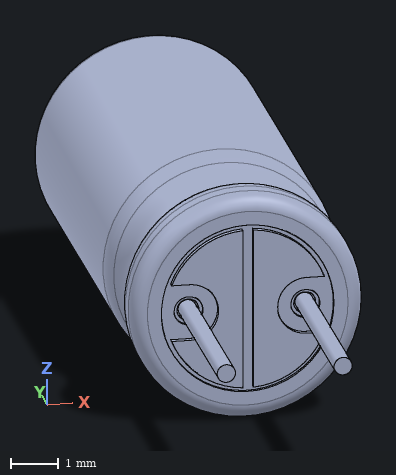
import cadquery as cq
import math


total_length = 15.1
can_diameter = 5.0
can_length = 11.0
end_round = 0.35

groove_depth = 0.32
groove_centre = 1.89
groove_half_width = 1.24
groove_shoulder = 0.51

plate_diameter = 3.5
plate_height = 0.05
plate_gap = 0.23
lead_notch_width = 1.24
seal_diameter = 3.7
seal_depth = 0.08

lead_diameter = 0.4
lead_spacing = 2.5
lead_tip = can_length - total_length
socket_mouth_diameter = 0.62
socket_diameter = 0.47
socket_depth = 0.08

can_radius = can_diameter / 2
lead_positions = (-lead_spacing / 2, lead_spacing / 2)


def disc(diameter, y_start, y_end, x=0):
    """Cylinder along Y between two Y positions."""
    plane = cq.Workplane("XZ", origin=(x, y_start, 0))
    return plane.circle(diameter / 2).extrude(y_start - y_end)


def groove_points():
    """Points of the groove profile as (radius, y), from the lead end to the far end."""
    waist_half = groove_half_width - groove_shoulder
    shoulder_drop = groove_depth * groove_shoulder / groove_half_width
    waist_radius = can_radius - groove_depth
    half_arc_angle = math.atan(shoulder_drop / groove_shoulder)
    shoulder_arc = groove_shoulder / math.sin(2 * half_arc_angle)
    mid_drop = shoulder_arc * (1 - math.cos(half_arc_angle))
    mid_run = shoulder_arc * math.sin(half_arc_angle)
    start = groove_centre - groove_half_width
    end = groove_centre + groove_half_width
    return {
        "start": (can_radius, start),
        "start_mid": (can_radius - mid_drop, start + mid_run),
        "waist_start": (can_radius - shoulder_drop, groove_centre - waist_half),
        "waist": (waist_radius, groove_centre),
        "waist_end": (can_radius - shoulder_drop, groove_centre + waist_half),
        "end_mid": (can_radius - mid_drop, end - mid_run),
        "end": (can_radius, end),
    }


def can():
    """Solid can with the crimp groove and both ends rounded."""
    groove = groove_points()
    profile = (
        cq.Workplane("XY")
        .lineTo(can_radius, 0)
        .lineTo(*groove["start"])
        .threePointArc(groove["start_mid"], groove["waist_start"])
        .threePointArc(groove["waist"], groove["waist_end"])
        .threePointArc(groove["end_mid"], groove["end"])
        .lineTo(can_radius, can_length)
        .lineTo(0, can_length)
        .close()
    )
    body = profile.revolve(360, (0, 0, 0), (0, 1, 0))
    return body.faces("<Y or >Y").edges().fillet(end_round)


def plates():
    """Two half discs split by a gap, each notched around its lead."""
    pair = disc(plate_diameter, seal_depth, -plate_height)
    depth = seal_depth + plate_height
    tool_y = (seal_depth - plate_height) / 2
    pair = pair.cut(cq.Workplane("XY").box(plate_gap, depth, plate_diameter).translate((0, tool_y, 0)))
    for x in lead_positions:
        pair = pair.cut(disc(lead_notch_width, seal_depth, -plate_height, x))
        slot = cq.Workplane("XY").box(plate_diameter / 2, depth, lead_notch_width)
        outward = math.copysign(plate_diameter / 4, x)
        pair = pair.cut(slot.translate((x + outward, tool_y, 0)))
    return pair


body = can().cut(disc(seal_diameter, 0, seal_depth)).union(plates())

socket_floor = seal_depth + socket_depth
for x in lead_positions:
    body = body.cut(disc(socket_mouth_diameter, 0, socket_floor, x))
    body = body.cut(disc(socket_diameter, 0, socket_floor + socket_depth, x))
    body = body.union(disc(lead_diameter, lead_tip, socket_floor + socket_depth, x))

result = body